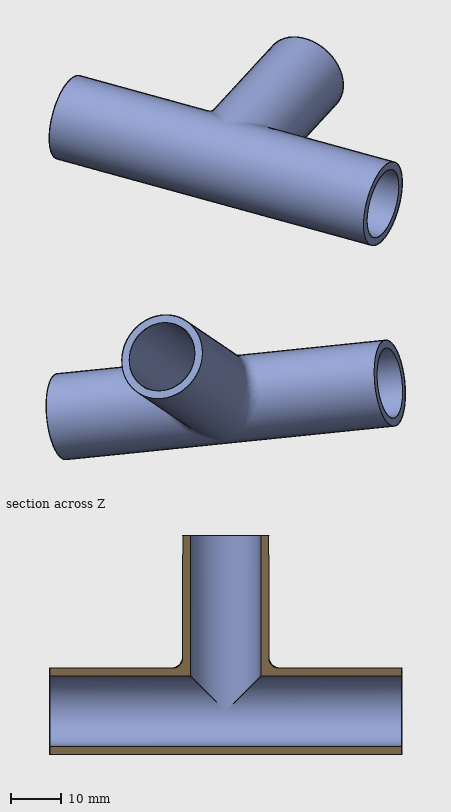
import cadquery as cq

run_length = 70
outer_diameter = 17.2
bore_diameter = 14
branch_reach = 35
crotch_fillet = 2.0

outer_radius = outer_diameter / 2
half_run = run_length / 2


def filleted_half_tee():
    """Solid +X half of the tee, with the corner between run and branch rounded."""
    run = cq.Workplane("YZ").circle(outer_radius).extrude(half_run)
    branch = (
        cq.Workplane("XZ")
        .moveTo(0, -outer_radius)
        .threePointArc((outer_radius, 0), (0, outer_radius))
        .close()
        .extrude(-branch_reach)
    )
    return run.union(branch).edges("%ELLIPSE").fillet(crotch_fillet)


def tee_bore():
    """Through bore of the run joined by the bore of the branch."""
    run_bore = cq.Workplane("YZ").circle(bore_diameter / 2).extrude(half_run, both=True)
    branch_bore = cq.Workplane("XZ").circle(bore_diameter / 2).extrude(-branch_reach)
    return run_bore.union(branch_bore)


half_tee = filleted_half_tee()
outer_body = half_tee.union(half_tee.mirror("YZ"))

result = outer_body.cut(tee_bore())